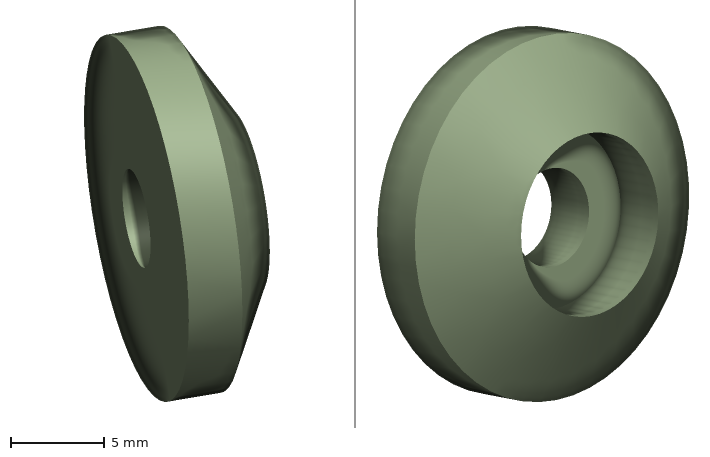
import cadquery as cq

outer_diameter = 20
bore_diameter = 5.4
counterbore_diameter = 10
rim_thickness = 3
total_thickness = 6
counterbore_depth = 3

outer_radius = outer_diameter / 2
bore_radius = bore_diameter / 2
counterbore_radius = counterbore_diameter / 2
counterbore_floor = total_thickness - counterbore_depth

half_section = (
    cq.Workplane("XY")
    .moveTo(bore_radius, 0)
    .lineTo(outer_radius, 0)
    .lineTo(outer_radius, rim_thickness)
    .lineTo(counterbore_radius, total_thickness)
    .lineTo(counterbore_radius, counterbore_floor)
    .lineTo(bore_radius, counterbore_floor)
    .close()
)

result = half_section.revolve(360, (0, 0), (0, 1))